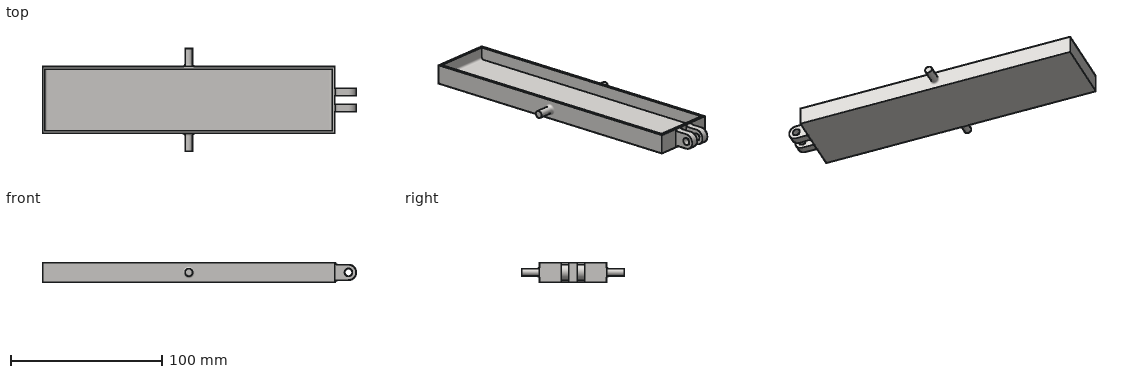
import cadquery as cq

overall_length = 207.2
overall_width = 68.0
height = 13.0

tray_width = 44.3
side_wall = 1.9
left_wall = 1.5
right_wall = 1.9
floor_thickness = 4.8
floor_fillet = 1.9

lug_radius = 5.2
lug_reach = 9.0
lug_thickness = 5.2
lug_gap = 5.4
hinge_hole_diameter = 5.0
lug_fillet = 1.9

pin_diameter = 5.0
pin_fillet = 1.5

tray_length = overall_length - lug_reach - lug_radius
axis_z = height / 2
hinge_x = tray_length + lug_reach


def make_tray():
    """Open tray, with rounded floor corners along its two short ends."""
    cavity_length = tray_length - left_wall - right_wall
    cavity_width = tray_width - 2 * side_wall
    cavity = (
        cq.Workplane("XY", origin=(left_wall, 0, floor_thickness))
        .rect(cavity_length, cavity_width, centered=(False, True))
        .extrude(height - floor_thickness)
        .edges("<Z and |Y")
        .fillet(floor_fillet)
    )
    body = cq.Workplane("XY").box(tray_length, tray_width, height, centered=(False, True, False))
    return body.cut(cavity)


def make_lug(y_center):
    """Round-ended hinge lug whose upper and lower roots flare into the tray end."""
    flare_x = tray_length + lug_fillet
    root_half_height = lug_radius + lug_fillet
    profile = (
        cq.Workplane("XZ", origin=(0, y_center, axis_z))
        .moveTo(tray_length, -root_half_height)
        .radiusArc((flare_x, -lug_radius), lug_fillet)
        .lineTo(hinge_x, -lug_radius)
        .threePointArc((overall_length, 0), (hinge_x, lug_radius))
        .lineTo(flare_x, lug_radius)
        .radiusArc((tray_length, root_half_height), lug_fillet)
        .close()
        .extrude(lug_thickness / 2, both=True)
    )
    envelope = cq.Workplane("XY").box(
        overall_length, overall_width, height, centered=(False, True, False)
    )
    hole = (
        cq.Workplane("XZ", origin=(hinge_x, y_center, axis_z))
        .circle(hinge_hole_diameter / 2)
        .extrude(lug_thickness, both=True)
    )
    return profile.intersect(envelope).cut(hole)


def make_pin(side):
    """Pivot pin with a concave flare at its root; side is -1 or 1 along Y."""
    pin_radius = pin_diameter / 2
    wall_y = tray_width / 2
    tip_y = overall_width / 2
    pin = (
        cq.Workplane("XY")
        .moveTo(0, wall_y)
        .lineTo(pin_radius + pin_fillet, wall_y)
        .radiusArc((pin_radius, wall_y + pin_fillet), pin_fillet)
        .lineTo(pin_radius, tip_y)
        .lineTo(0, tip_y)
        .close()
        .revolve(360, (0, 0, 0), (0, 1, 0))
    )
    if side < 0:
        pin = pin.mirror("XZ")
    return pin.translate((tray_length / 2, 0, axis_z))


result = make_tray()
for side in (-1, 1):
    result = result.union(make_lug(side * (lug_gap + lug_thickness) / 2))
    result = result.union(make_pin(side))